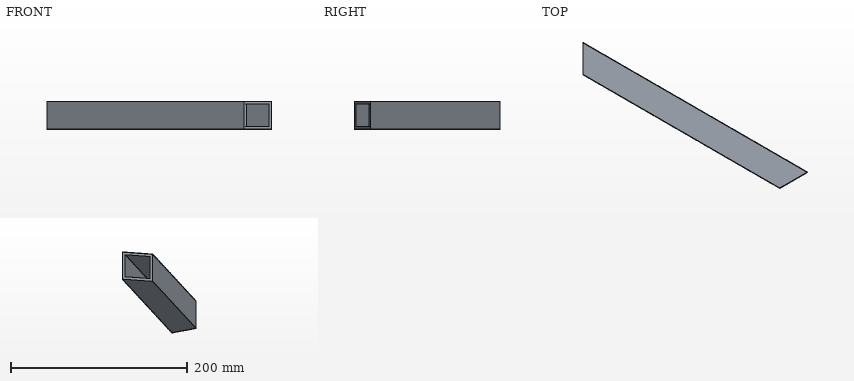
import cadquery as cq
import math

span_x = 255.2
tube_size = 31.6
wall = 3.0
slope_angle = math.radians(30)

slope = math.tan(slope_angle)
end_face_length = tube_size / math.cos(slope_angle)
wall_along_y = wall / math.cos(slope_angle)


def mitred_bar(inset_along_y, height):
    """Bar with a left end parallel to Y and a right end rising at the slope angle.

    The inset moves both long sides inwards, leaving the end planes in place.
    """
    left_top = end_face_length - inset_along_y
    left_bottom = inset_along_y
    tip_y = end_face_length - span_x * slope

    def right_end_point(left_y):
        x = (left_y - tip_y + span_x * slope) / (2 * slope)
        return (x, left_y - x * slope)

    outline = [
        (0, left_top),
        (0, left_bottom),
        right_end_point(left_bottom),
        right_end_point(left_top),
    ]
    return cq.Workplane("XY").polyline(outline).close().extrude(height / 2, both=True)


outer_bar = mitred_bar(0, tube_size)
bore = mitred_bar(wall_along_y, tube_size - 2 * wall)

result = outer_bar.cut(bore)